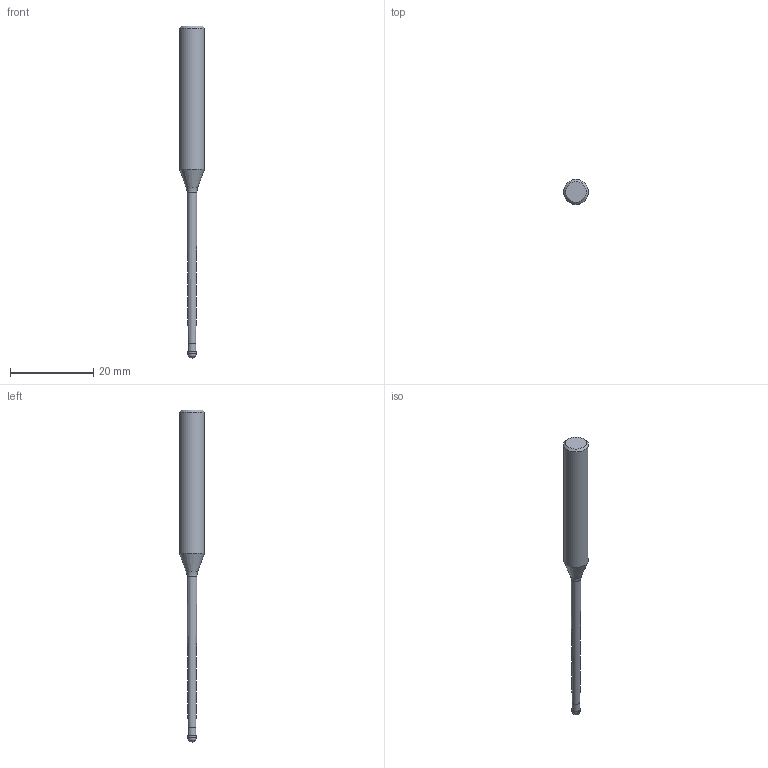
import cadquery as cq
import math


total_length = 80.0
shank_radius = 3.0

ball_radius = 1.0
head_length = 1.5

neck_radius = 0.95
neck_straight_top = 3.6
neck_root_radius = 1.2
neck_top = 40.0

blend_radius = 3.0
cone_half_angle = math.radians(20.0)
chamfer = 0.5


def revolve_about_z(profile):
    """Turn a half profile, drawn in the YZ plane on the -Y side, once around the Z axis."""
    return profile.close().revolve(360, (0, 0, 0), (0, 1, 0))


def build_cutting_head():
    arc_middle = ball_radius * math.sqrt(0.5)
    profile = (
        cq.Workplane("YZ")
        .moveTo(0, 0)
        .threePointArc((-arc_middle, ball_radius - arc_middle), (-ball_radius, ball_radius))
        .lineTo(-ball_radius, head_length)
        .lineTo(0, head_length)
    )
    return revolve_about_z(profile)


def blend_point(angle):
    """Radius and height on the concave blend where it has turned by angle away from the Z direction."""
    radius = neck_root_radius + blend_radius * (1 - math.cos(angle))
    height = neck_top + blend_radius * math.sin(angle)
    return radius, height


def build_shank_with_neck():
    cone_start_radius, cone_start_height = blend_point(cone_half_angle)
    cone_height = (shank_radius - cone_start_radius) / math.tan(cone_half_angle)
    shank_bottom = cone_start_height + cone_height
    blend_middle_radius, blend_middle_height = blend_point(cone_half_angle / 2)

    profile = (
        cq.Workplane("YZ")
        .moveTo(0, head_length)
        .lineTo(-neck_radius, head_length)
        .lineTo(-neck_radius, neck_straight_top)
        .lineTo(-neck_root_radius, neck_top)
        .threePointArc(
            (-blend_middle_radius, blend_middle_height),
            (-cone_start_radius, cone_start_height),
        )
        .lineTo(-shank_radius, shank_bottom)
        .lineTo(-shank_radius, total_length - chamfer)
        .lineTo(-shank_radius + chamfer, total_length)
        .lineTo(0, total_length)
    )
    return revolve_about_z(profile)


cutting_head = build_cutting_head()
shank_with_neck = build_shank_with_neck()

result = cq.Compound.makeCompound([cutting_head.val(), shank_with_neck.val()])